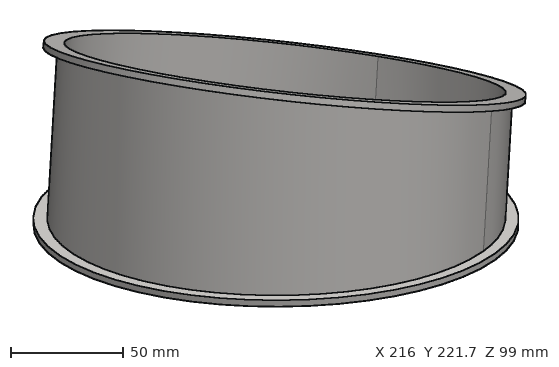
import cadquery as cq
import math

flange_diameter = 216.0
flange_thickness = 3.0
tube_diameter = 204.0
bore_diameter = 197.7
tilt = 15.0
overall_height = 99.0

top_z = overall_height - flange_diameter / 2 * math.sin(math.radians(tilt))
top_y = top_z * math.tan(math.radians(tilt / 2))

base_plane = cq.Plane(origin=(0, 0, 0), xDir=(1, 0, 0), normal=(0, 0, 1))
top_plane = cq.Plane(
    origin=(0, top_y, top_z),
    xDir=(1, 0, 0),
    normal=(0, math.sin(math.radians(tilt)), math.cos(math.radians(tilt))),
)


def lofted_body(diameter):
    """Solid body joining equal circles on the two mating faces."""
    circles = [
        cq.Wire.makeCircle(diameter / 2, plane.origin, plane.zDir)
        for plane in (base_plane, top_plane)
    ]
    return cq.Workplane(cq.Solid.makeLoft(circles, True))


def flange(plane, thickness):
    """Disc on a mating face; a negative thickness extends it below the plane."""
    return cq.Workplane(plane).circle(flange_diameter / 2).extrude(thickness)


result = (
    lofted_body(tube_diameter)
    .union(flange(base_plane, flange_thickness))
    .union(flange(top_plane, -flange_thickness))
    .cut(lofted_body(bore_diameter))
)